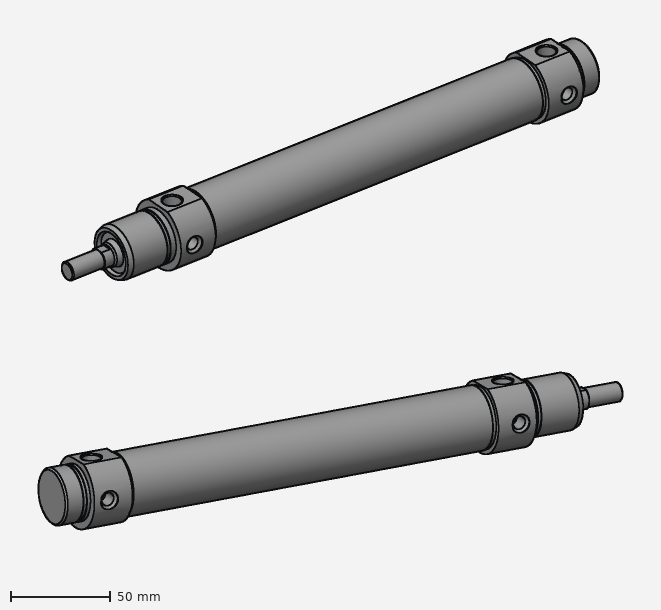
import cadquery as cq
import math


total_length = 328.0
tip_y = -total_length / 2
rear_y = total_length / 2

collar_diameter = 38.0
collar_length = 22.0
flat_height = 17.5
seat_diameter = 33.0
seat_length = 2.0
boss_diameter = 30.0
groove_diameter = 29.0
groove_width = 2.0

barrel_diameter = 33.8

rear_boss_length = 14.0
rear_groove_gap = 2.0
rear_chamfer = 1.0

front_boss_length = 30.0
front_groove_gap = 3.3
front_chamfer_depth = 1.0
front_chamfer_length = 3.0
recess_diameter = 24.0
recess_floor_diameter = 22.0
recess_depth = 2.0

lip_base_diameter = 15.0
lip_diameter = 13.0
lip_length = 1.3
lip_tip_length = 1.0

rod_diameter = 11.5
rod_protrusion = 8.2
wrench_flat_length = 5.2
wrench_flat_width = 10.2
thread_diameter = 10.2
thread_length = 20.0
tip_chamfer = 0.5

port_mouth_diameter = 11.0
port_diameter = 10.0
port_depth = 8.0
port_offset = 9.0
drill_point_angle = 118.0
pilot_diameter = 3.0

pivot_mouth_diameter = 10.0
pivot_diameter = 7.0
pivot_depth = 10.0

shoulder_y = tip_y + thread_length
front_face_y = shoulder_y + rod_protrusion
front_collar_y = front_face_y + front_boss_length
front_collar_end_y = front_collar_y + collar_length
barrel_start_y = front_collar_end_y + seat_length
rear_collar_end_y = rear_y - rear_boss_length
rear_collar_y = rear_collar_end_y - collar_length
barrel_end_y = rear_collar_y - seat_length
front_port_y = front_collar_y + port_offset
rear_port_y = rear_collar_end_y - port_offset


def revolved(profile):
    """Solid of revolution about Y from (radius, y) points; the profile is closed along the axis."""
    points = [(0, profile[0][1]), *profile, (0, profile[-1][1])]
    return cq.Workplane("XY").polyline(points).close().revolve(360, (0, 0, 0), (0, 1, 0))


def flattened(cover, start_y):
    """Cut the flat along the top of a collar that starts at start_y."""
    flat_depth = collar_diameter / 2 - flat_height
    cutter = cq.Workplane("XY").box(
        collar_diameter, collar_length, flat_depth, centered=(True, False, False)
    )
    return cover.cut(cutter.translate((0, start_y, flat_height)))


def chamfered_hole(mouth_diameter, hole_diameter, depth, point_angle=None):
    """Hole cutter along -Z from its mouth at z = 0, with a 45 degree lead-in and an optional drill point."""
    mouth_radius = mouth_diameter / 2
    hole_radius = hole_diameter / 2
    lead_in = mouth_radius - hole_radius
    points = [(0, 0), (mouth_radius, 0), (hole_radius, -lead_in), (hole_radius, -depth)]
    point_length = 0
    if point_angle:
        point_length = hole_radius / math.tan(math.radians(point_angle / 2))
    points.append((0, -depth - point_length))
    return cq.Workplane("XZ").polyline(points).close().revolve(360, (0, 0, 0), (0, 1, 0))


def with_pivot_holes(cover, y):
    """Cut a blind pivot hole into the -X and +X sides of a collar."""
    outer_x = math.sqrt((collar_diameter / 2) ** 2 - (pivot_mouth_diameter / 2) ** 2)
    mouth = cq.Workplane("XY").circle(pivot_mouth_diameter / 2).extrude(collar_diameter / 2 - outer_x)
    hole = chamfered_hole(pivot_mouth_diameter, pivot_diameter, pivot_depth).union(mouth)
    hole = hole.translate((0, 0, outer_x))
    for angle in (-90, 90):
        cover = cover.cut(hole.rotate((0, 0, 0), (0, 1, 0), angle).translate((0, y, 0)))
    return cover


def make_barrel():
    radius = barrel_diameter / 2
    return revolved([(radius, barrel_start_y), (radius, barrel_end_y)])


def make_rear_cover():
    boss_radius = boss_diameter / 2
    groove_radius = groove_diameter / 2
    groove_start = rear_collar_end_y + rear_groove_gap
    cover = revolved([
        (seat_diameter / 2, barrel_end_y),
        (seat_diameter / 2, rear_collar_y),
        (collar_diameter / 2, rear_collar_y),
        (collar_diameter / 2, rear_collar_end_y),
        (boss_radius, rear_collar_end_y),
        (boss_radius, groove_start),
        (groove_radius, groove_start),
        (groove_radius, groove_start + groove_width),
        (boss_radius, groove_start + groove_width),
        (boss_radius, rear_y - rear_chamfer),
        (boss_radius - rear_chamfer, rear_y),
    ])
    cover = flattened(cover, rear_collar_y)
    port = chamfered_hole(port_mouth_diameter, port_diameter, port_depth, drill_point_angle)
    cover = cover.cut(port.translate((0, rear_port_y, flat_height)))
    return with_pivot_holes(cover, rear_port_y)


def make_front_cover():
    boss_radius = boss_diameter / 2
    groove_radius = groove_diameter / 2
    groove_end = front_collar_y - front_groove_gap
    recess_floor_y = front_face_y + recess_depth
    lip_y = front_face_y - lip_length
    lip_tip_y = lip_y - lip_tip_length
    cover = revolved([
        (rod_diameter / 2, lip_tip_y),
        (lip_diameter / 2, lip_y),
        (lip_base_diameter / 2, recess_floor_y),
        (recess_floor_diameter / 2, recess_floor_y),
        (recess_diameter / 2, front_face_y),
        (boss_radius - front_chamfer_depth, front_face_y),
        (boss_radius, front_face_y + front_chamfer_length),
        (boss_radius, groove_end - groove_width),
        (groove_radius, groove_end - groove_width),
        (groove_radius, groove_end),
        (boss_radius, groove_end),
        (boss_radius, front_collar_y),
        (collar_diameter / 2, front_collar_y),
        (collar_diameter / 2, front_collar_end_y),
        (seat_diameter / 2, front_collar_end_y),
        (seat_diameter / 2, barrel_start_y),
    ])
    cover = flattened(cover, front_collar_y)
    port = chamfered_hole(port_mouth_diameter, port_diameter, port_depth)
    pilot = cq.Workplane("XY").circle(pilot_diameter / 2).extrude(-flat_height)
    cover = cover.cut(port.union(pilot).translate((0, front_port_y, flat_height)))
    cover = with_pivot_holes(cover, front_port_y)
    rod_bore = revolved([(rod_diameter / 2, lip_tip_y), (rod_diameter / 2, barrel_start_y)])
    return cover.cut(rod_bore)


def make_piston_rod():
    rod_radius = rod_diameter / 2
    rod = revolved([
        (thread_diameter / 2 - tip_chamfer, tip_y),
        (thread_diameter / 2, tip_y + tip_chamfer),
        (thread_diameter / 2, shoulder_y),
        (rod_radius, shoulder_y),
        (rod_radius, barrel_start_y),
    ])
    flat = cq.Workplane("XY").box(
        rod_diameter, wrench_flat_length, rod_radius, centered=(True, False, False)
    )
    flat = flat.translate((0, shoulder_y, wrench_flat_width / 2))
    return rod.cut(flat).cut(flat.mirror("XY"))


barrel = make_barrel()
rear_cover = make_rear_cover()
front_cover = make_front_cover()
piston_rod = make_piston_rod()

result = cq.Compound.makeCompound(
    [barrel.val(), rear_cover.val(), front_cover.val(), piston_rod.val()]
)